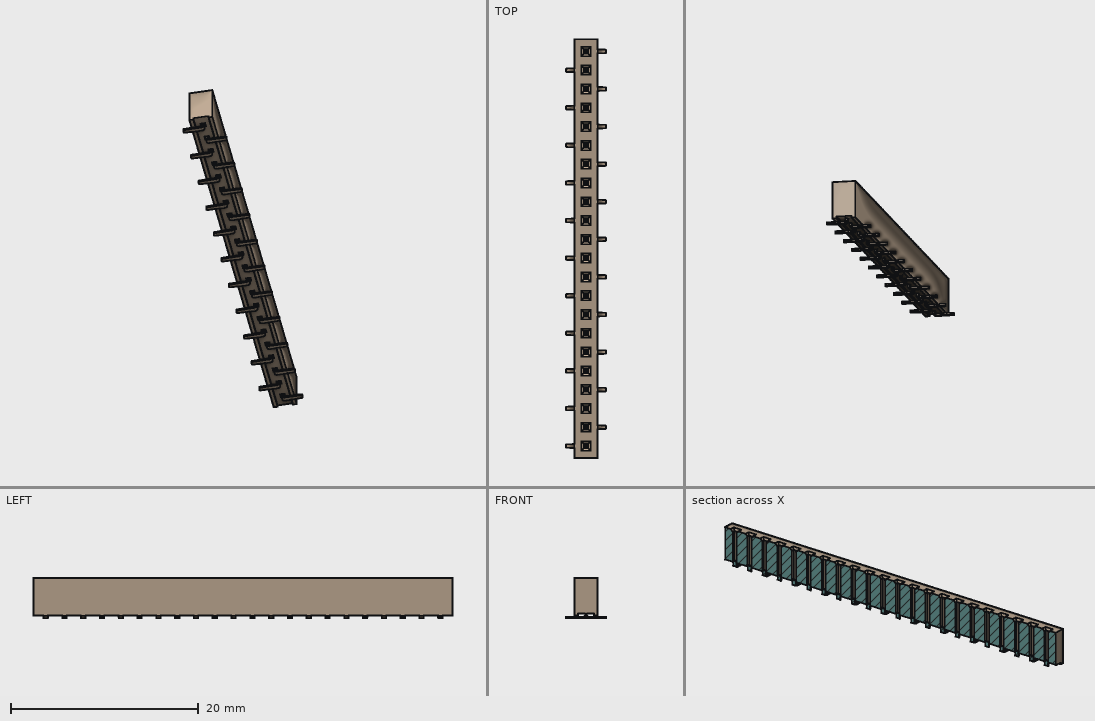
import cadquery as cq

pin_count = 22
pitch = 2.0
end_margin = 1.3
body_width = 2.5
body_height = 4.0
body_length = (pin_count - 1) * pitch + 2 * end_margin
standoff = 0.3
body_top = standoff + body_height

channel_width = 1.65
channel_depth = 0.2
channel_ceiling = standoff + channel_depth

funnel_size = 1.0
funnel_depth = 0.25
socket_size = 0.5
floor_thickness = 0.1
socket_depth = body_height - channel_depth - floor_thickness

lead_span = 4.3
lead_width = 0.5
lead_tip_width = 0.4
lead_thickness = 0.2
bend_radius = 0.3
tip_radius = 0.15
stem_embed = 0.2

pin_positions = [(i - (pin_count - 1) / 2) * pitch for i in range(pin_count)]


def make_housing():
    body = cq.Workplane("XY").box(
        body_width, body_length, body_height, centered=(True, True, False)
    ).translate((0, 0, standoff))
    channel = cq.Workplane("XY").box(
        channel_width, body_length, channel_depth, centered=(True, True, False)
    ).translate((0, 0, standoff))
    return body.cut(channel)


def make_sockets():
    centers = [(0, y) for y in pin_positions]
    holes = (
        cq.Workplane("XY", origin=(0, 0, body_top))
        .pushPoints(centers)
        .rect(socket_size, socket_size)
        .extrude(-socket_depth)
    )
    funnel = (
        cq.Workplane("XY", origin=(0, 0, body_top))
        .rect(funnel_size, funnel_size)
        .workplane(offset=-funnel_depth)
        .rect(socket_size, socket_size)
        .loft(ruled=True)
    )
    for y in pin_positions:
        holes = holes.union(funnel.translate((0, y, 0)))
    return holes


def make_lead():
    """L-shaped lead pointing toward -X, tapered in plan, with its stem on the centre plane."""
    half_stem = lead_thickness / 2
    inner_radius = bend_radius - lead_thickness
    stem_top = channel_ceiling + stem_embed
    bent_strip = (
        cq.Workplane("XZ")
        .moveTo(-lead_span / 2, 0)
        .lineTo(half_stem - bend_radius, 0)
        .radiusArc((half_stem, bend_radius), -bend_radius)
        .lineTo(half_stem, stem_top)
        .lineTo(-half_stem, stem_top)
        .lineTo(-half_stem, bend_radius)
        .radiusArc((half_stem - bend_radius, lead_thickness), inner_radius)
        .lineTo(-lead_span / 2, lead_thickness)
        .close()
        .extrude(lead_width / 2, both=True)
    )
    plan_outline = (
        cq.Workplane("XY")
        .moveTo(half_stem, -lead_width / 2)
        .lineTo(half_stem, lead_width / 2)
        .lineTo(-lead_span / 2, lead_tip_width / 2)
        .lineTo(-lead_span / 2, -lead_tip_width / 2)
        .close()
        .extrude(stem_top)
    )
    return bent_strip.intersect(plan_outline).faces("<X").edges("|Z").fillet(tip_radius)


def add_leads(housing):
    """Leads alternate sides along the row, starting toward -X at the -Y end."""
    left_lead = make_lead()
    right_lead = left_lead.mirror("YZ")
    part = housing
    for i, y in enumerate(pin_positions):
        lead = left_lead if i % 2 == 0 else right_lead
        part = part.union(lead.translate((0, y, 0)))
    return part


result = add_leads(make_housing().cut(make_sockets()))